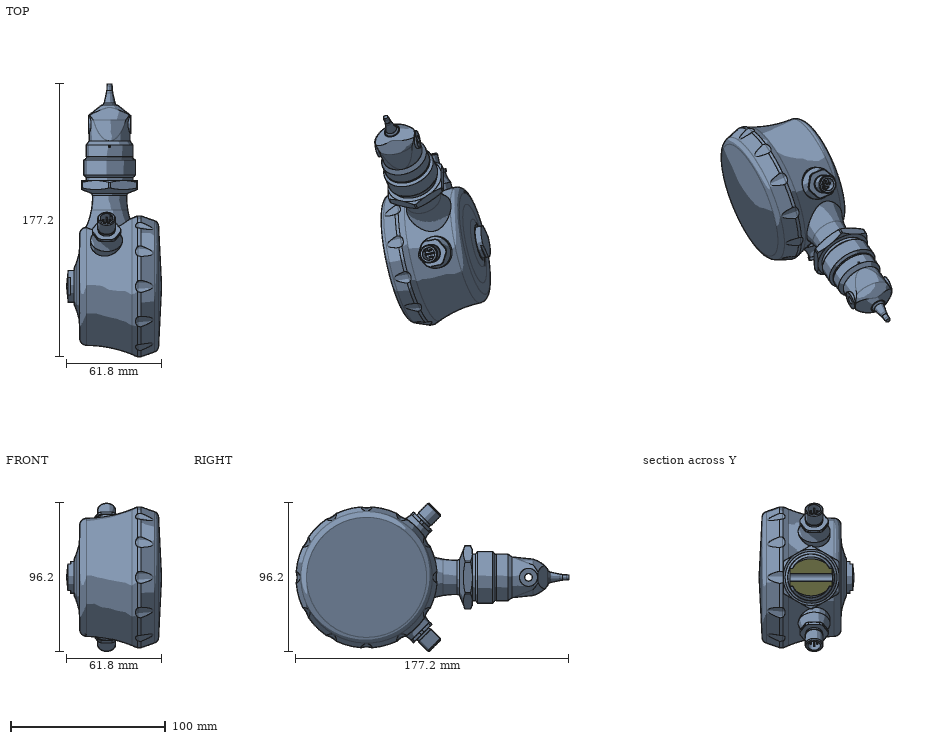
import cadquery as cq
import math


face_x = -19.5
cap_x = 31.9
cap_apex_x = 33.8
cap_edge_round = 4.0
waist_start_x = -14.9
waist_end_x = 14.5
rim_start_x = 18.3
rim_end_x = 20.4
rim_taper_end_x = 29.0
face_radius = 33.7
waist_radius = 38.5
waist_end_radius = 44.3
rim_radius = 45.9
rim_taper_end_radius = 42.7
cap_radius = 39.0
waist_mid_rise = 0.25

boss_base_radius = 26.0
boss_shoulder_radius = 15.8
boss_shoulder_x = -21.5
boss_flank_radius = 20.5
boss_flank_x = -20.0
boss_top_radius = 23.5 / 2
boss_top_x = -23.0
knob_radius = 20.7 / 2
knob_edge_x = -27.0
knob_apex_x = -28.0
knob_flat_half_width = 8.7
knob_flat_end_x = -25.3

notch_count = 12
notch_radius = 13.8 / 2
notch_deep_x = 19.7
notch_deep_bottom = 44.7
notch_centre = notch_deep_bottom + notch_radius
notch_out_x = 27.6
notch_out_bottom = 43.2

stem_root_y = 21.3
neck_flare_y = 35.5
neck_flare_mid_y = 43.6
neck_waist_y = 49.6
neck_waist_mid_y = 54.0
neck_top_y = 58.8
nut_cone_y = 60.2
nut_lower_y = 63.8
nut_upper_y = 68.5
groove_y = 70.7
ring_lower_y = 72.1
ring_upper_y = 81.9
collar_lower_y = 83.3
collar_groove_y = 84.3
collar_upper_y = 91.6
nose_base_y = 94.5
nose_bend_y = 108.0
nose_mid_y = 113.8
nose_shoulder_y = 111.3
nose_end_y = 117.7
neck_radius = 11.2
neck_waist_mid_radius = 11.3
neck_waist_radius = 11.9
neck_flare_mid_radius = 13.3
neck_flare_radius = 17.0
ring_radius = 16.8
collar_radius = 15.2
collar_groove_depth = 0.2

nut_flats = 36.1
nut_corner_radius = nut_flats / math.sqrt(3)
nut_round_radius = 20.5
nut_cone_radius = 11.7
nut_face_radius = 18.3
nut_chamfer_y = 1.0
nut_turn = 30.0

nose_radius = 13.3
nose_bend_half_height = 11.9
nose_mid_half_height = 9.0
nose_core_end_radius = 5.1
nose_end_half_height = 5.5
shell_offset = 4.6
lug_diameter = 11.7
lug_half_length = 13.8
lug_y = 105.0
lug_hole_diameter = 4.8
vent_diameter = 1.2
vent_y = 90.7
vent_depth = 1.8

nozzle_root_y = 115.2
nozzle_foot_radius = 4.5
nozzle_base_y = 119.0
nozzle_base_radius = 3.5
nozzle_taper_y = 125.6
nozzle_taper_radius = 2.1
nozzle_collar_y = 127.0
nozzle_collar_radius = 2.0
nozzle_step_y = 129.9
nozzle_barrel_radius = 3.5 / 2
nozzle_tip_radius = 3.0 / 2
overall_length = 177.2
notch_rim_radius_squared = notch_radius**2 - (notch_deep_x - rim_start_x) ** 2
rim_reach = (rim_radius**2 + notch_centre**2 - notch_rim_radius_squared) / (2 * notch_centre)
tip_y = overall_length - rim_reach

port_x = -2.0
port_angle = 45.0
port_root = 26.5
port_base_end = 42.3
port_flare_end = 49.5
port_hex_end = 51.5
port_neck_end = 53.3
port_end = 62.7
port_base_radius = 20.7 / 2
port_flare_mid = 45.4
port_flare_mid_radius = 9.0
port_flare_end_radius = 8.3
port_neck_radius = 11.0 / 2
port_barrel_radius = 11.7 / 2
port_chamfer_radial = 0.5
port_chamfer_axial = 0.9
port_hex_flats = 17.0
port_hex_round = 18.5
port_bore_diameter = 8.2
port_bore_depth = 8.9
pin_diameter = 1.0
pin_length = 7.0
pin_circle_radius = 2.1
pin_count = 4
key_diameter = 1.65
key_angle = 45.0


def turned_disc():
    half = (
        cq.Workplane("XY")
        .moveTo(knob_apex_x, 0)
        .lineTo(knob_edge_x, knob_radius)
        .lineTo(boss_top_x, knob_radius)
        .lineTo(boss_top_x, boss_top_radius)
        .lineTo(boss_shoulder_x, boss_shoulder_radius)
        .threePointArc((boss_flank_x, boss_flank_radius), (face_x, boss_base_radius))
        .lineTo(face_x, face_radius)
        .radiusArc((waist_start_x, waist_radius), waist_radius - face_radius)
        .threePointArc(
            ((waist_start_x + waist_end_x) / 2,
             waist_radius + waist_mid_rise * (waist_end_radius - waist_radius)),
            (waist_end_x, waist_end_radius),
        )
        .lineTo(rim_start_x, rim_radius)
        .lineTo(rim_end_x, rim_radius)
        .lineTo(rim_taper_end_x, rim_taper_end_radius)
        .radiusArc((cap_x, cap_radius), cap_edge_round)
        .lineTo(cap_apex_x, 0)
        .close()
    )
    return half.revolve(360, (0, 0, 0), (1, 0, 0))


def knob_flats():
    length = knob_flat_end_x - knob_apex_x
    pads = cq.Workplane("XY")
    for side in (-1, 1):
        pads = pads.union(
            cq.Workplane("XY")
            .box(length, 4 * knob_radius, knob_radius)
            .translate((knob_apex_x + length / 2, 0, side * (knob_flat_half_width + knob_radius / 2)))
        )
    return pads


def rim_notches():
    run = cq.Vector(notch_out_x - notch_deep_x, 0, notch_out_bottom - notch_deep_bottom)
    start = cq.Vector(notch_deep_x, 0, notch_centre)
    ball = cq.Solid.makeSphere(notch_radius, start, angleDegrees1=-90)
    rod = cq.Solid.makeCylinder(notch_radius, 2 * run.Length, start, run)
    cutter = cq.Workplane("XY").add(ball).union(cq.Workplane("XY").add(rod))
    notches = cq.Workplane("XY")
    for i in range(notch_count):
        notches = notches.union(cutter.rotate((0, 0, 0), (1, 0, 0), i * 360 / notch_count))
    return notches


def turn_about_stem(profile):
    return profile.close().revolve(360, (0, 0, 0), (0, 1, 0))


def neck():
    return turn_about_stem(
        cq.Workplane("XY")
        .moveTo(0, stem_root_y)
        .lineTo(neck_flare_radius, stem_root_y)
        .lineTo(neck_flare_radius, neck_flare_y)
        .threePointArc((neck_flare_mid_radius, neck_flare_mid_y), (neck_waist_radius, neck_waist_y))
        .threePointArc((neck_waist_mid_radius, neck_waist_mid_y), (neck_radius, neck_top_y))
        .lineTo(nut_cone_radius, nut_cone_y)
        .lineTo(0, nut_cone_y)
    )


def hex_nut():
    hexagon = (
        cq.Workplane("XZ", origin=(0, nut_upper_y, 0))
        .polygon(6, 2 * nut_corner_radius)
        .extrude(nut_upper_y - nut_cone_y)
        .rotate((0, 0, 0), (0, 1, 0), nut_turn)
    )
    envelope = turn_about_stem(
        cq.Workplane("XY")
        .moveTo(0, nut_cone_y)
        .lineTo(nut_cone_radius, nut_cone_y)
        .lineTo(nut_round_radius, nut_lower_y)
        .lineTo(nut_round_radius, nut_upper_y - nut_chamfer_y)
        .lineTo(nut_face_radius, nut_upper_y)
        .lineTo(0, nut_upper_y)
    )
    return hexagon.intersect(envelope)


def collars():
    groove_radius = collar_radius - collar_groove_depth
    return turn_about_stem(
        cq.Workplane("XY")
        .moveTo(0, nut_upper_y)
        .lineTo(collar_radius, nut_upper_y)
        .lineTo(collar_radius, groove_y)
        .lineTo(ring_radius, ring_lower_y)
        .lineTo(ring_radius, ring_upper_y)
        .lineTo(groove_radius, collar_lower_y)
        .lineTo(groove_radius, collar_groove_y)
        .lineTo(collar_radius, collar_groove_y)
        .lineTo(collar_radius, collar_upper_y)
        .lineTo(nose_radius, nose_base_y)
        .lineTo(0, nose_base_y)
    )


def nose_shell(side):
    """Ogive turned about an axis beyond the stem axis; it forms the crown on one Z side."""
    shell = turn_about_stem(
        cq.Workplane("XY")
        .moveTo(0, nose_base_y)
        .lineTo(nose_radius + shell_offset, nose_base_y)
        .lineTo(nose_bend_half_height + shell_offset, nose_bend_y)
        .threePointArc(
            (nose_mid_half_height + shell_offset, nose_mid_y),
            (nose_end_half_height + shell_offset, nose_end_y),
        )
        .lineTo(0, nose_end_y)
    )
    return shell.translate((0, 0, -side * shell_offset))


def nose():
    core = turn_about_stem(
        cq.Workplane("XY")
        .moveTo(0, nose_base_y)
        .lineTo(nose_radius, nose_base_y)
        .lineTo(nose_radius, nose_shoulder_y)
        .lineTo(nose_core_end_radius, nose_end_y)
        .lineTo(0, nose_end_y)
    )
    return core.intersect(nose_shell(1)).intersect(nose_shell(-1))


def lug_rod(diameter):
    return (
        cq.Workplane("YZ", origin=(-lug_half_length, lug_y, 0))
        .circle(diameter / 2)
        .extrude(2 * lug_half_length)
    )


def nozzle():
    return turn_about_stem(
        cq.Workplane("XY")
        .moveTo(0, nozzle_root_y)
        .lineTo(nozzle_foot_radius, nozzle_root_y)
        .lineTo(nozzle_foot_radius, nose_end_y)
        .lineTo(nozzle_base_radius, nozzle_base_y)
        .lineTo(nozzle_taper_radius, nozzle_taper_y)
        .lineTo(nozzle_collar_radius, nozzle_collar_y)
        .lineTo(nozzle_barrel_radius, nozzle_collar_y)
        .lineTo(nozzle_barrel_radius, nozzle_step_y)
        .lineTo(nozzle_tip_radius, tip_y)
        .lineTo(0, tip_y)
    )


def vent():
    return (
        cq.Workplane("XY", origin=(0, vent_y, collar_radius - vent_depth))
        .circle(vent_diameter / 2)
        .extrude(2 * vent_depth)
    )


def port():
    """Connector built along +Z from the disc centre."""
    body = (
        cq.Workplane("XZ")
        .moveTo(0, port_root)
        .lineTo(port_base_radius, port_root)
        .lineTo(port_base_radius, port_base_end)
        .threePointArc((port_flare_mid_radius, port_flare_mid), (port_flare_end_radius, port_flare_end))
        .lineTo(port_neck_radius, port_flare_end)
        .lineTo(port_neck_radius, port_neck_end)
        .lineTo(port_barrel_radius, port_neck_end)
        .lineTo(port_barrel_radius, port_end - port_chamfer_axial)
        .lineTo(port_barrel_radius - port_chamfer_radial, port_end)
        .lineTo(0, port_end)
        .close()
        .revolve(360, (0, 0, 0), (0, 1, 0))
    )
    hex_plane = cq.Workplane("XY", origin=(0, 0, port_flare_end))
    hex_height = port_hex_end - port_flare_end
    hexagon = hex_plane.polygon(6, 2 * port_hex_flats / math.sqrt(3)).extrude(hex_height)
    hexagon = hexagon.intersect(hex_plane.circle(port_hex_round / 2).extrude(hex_height))

    floor = cq.Workplane("XY", origin=(0, 0, port_end - port_bore_depth))
    bore = floor.circle(port_bore_diameter / 2).extrude(port_bore_depth)
    pins = (
        floor.polarArray(pin_circle_radius, 0, 360, pin_count)
        .circle(pin_diameter / 2)
        .extrude(pin_length)
    )
    centre_pin = floor.circle(pin_diameter / 2).extrude(pin_length)
    key = (
        floor.polarArray(port_bore_diameter / 2, key_angle, 360, 1)
        .circle(key_diameter / 2)
        .extrude(port_bore_depth - port_chamfer_axial)
    )
    return body.union(hexagon).cut(bore).union(pins).union(centre_pin).union(key)


def placed_port(side):
    """Port leaning from the disc toward the stem, on the +Z (1) or -Z (-1) side."""
    upper = port().rotate((0, 0, 0), (1, 0, 0), -port_angle).translate((port_x, 0, 0))
    return upper if side > 0 else upper.mirror("XY")


result = turned_disc().cut(knob_flats()).cut(rim_notches())
for section in (neck(), hex_nut(), collars(), nose(), nozzle(), lug_rod(lug_diameter)):
    result = result.union(section)
for port_side in (1, -1):
    result = result.union(placed_port(port_side))
result = result.cut(lug_rod(lug_hole_diameter)).cut(vent())